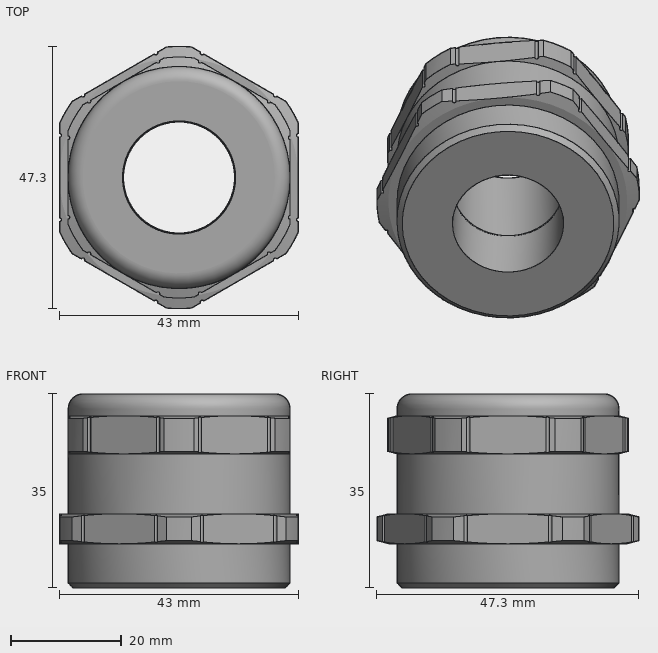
import cadquery as cq
import math

body_radius = 20.0
total_height = 35.0
bottom_chamfer = 0.95
top_fillet = 2.7

upper_bore_radius = 10.2
lower_bore_radius = 10.0

lower_hex_flats = 43.0
lower_hex_corner_radius = 23.64
lower_hex_bottom = 8.0
lower_hex_top = 13.4
lower_groove_offset = 7.6

upper_hex_flats = 2 * body_radius
upper_hex_corner_radius = 21.7
upper_hex_bottom = 24.2
upper_hex_top = 31.05
upper_groove_offset = 7.17

hex_sides = 6
hex_chamfer_angle = 15.0
groove_radius = 0.32

bore_step_height = lower_hex_top


def make_body():
    """Cylinder with a chamfered bottom rim and a rounded top rim."""
    body = cq.Workplane("XY").circle(body_radius).extrude(total_height)
    body = body.faces("<Z").edges().chamfer(bottom_chamfer)
    return body.faces(">Z").edges().fillet(top_fillet)


def make_corner_envelope(flats, corner_radius, bottom, top):
    """Disc that rounds the hexagon corners and bevels them at both ends."""
    flat_radius = flats / 2
    bevel_drop = (corner_radius - flat_radius) * math.tan(math.radians(hex_chamfer_angle))
    half_profile = [
        (0, bottom),
        (flat_radius, bottom),
        (corner_radius, bottom + bevel_drop),
        (corner_radius, top - bevel_drop),
        (flat_radius, top),
        (0, top),
    ]
    return cq.Workplane("XZ").polyline(half_profile).close().revolve(360, (0, 0), (0, 1))


def make_hex_collar(flats, corner_radius, bottom, top, groove_offset):
    """Hexagon with flats facing +X and -X and two round grooves along Z on each flat."""
    height = top - bottom
    corner_diameter = flats / math.cos(math.pi / hex_sides)
    base = cq.Workplane("XY").workplane(offset=bottom)
    collar = base.polygon(hex_sides, corner_diameter).extrude(height)
    collar = collar.rotate((0, 0, 0), (0, 0, 1), 180 / hex_sides)
    collar = collar.intersect(make_corner_envelope(flats, corner_radius, bottom, top))

    groove_centers = [(flats / 2, -groove_offset), (flats / 2, groove_offset)]
    groove_pair = base.pushPoints(groove_centers).circle(groove_radius).extrude(height)
    for side in range(hex_sides):
        side_angle = side * 360 / hex_sides
        collar = collar.cut(groove_pair.rotate((0, 0, 0), (0, 0, 1), side_angle))
    return collar


def make_bore():
    """Through hole with a step between its two radii."""
    lower = cq.Workplane("XY").circle(lower_bore_radius).extrude(total_height)
    upper_depth = total_height - bore_step_height
    step_plane = cq.Workplane("XY").workplane(offset=bore_step_height)
    upper = step_plane.circle(upper_bore_radius).extrude(upper_depth)
    return lower.union(upper)


lower_collar = make_hex_collar(
    lower_hex_flats, lower_hex_corner_radius, lower_hex_bottom, lower_hex_top, lower_groove_offset
)
upper_collar = make_hex_collar(
    upper_hex_flats, upper_hex_corner_radius, upper_hex_bottom, upper_hex_top, upper_groove_offset
)

result = make_body().union(lower_collar).union(upper_collar).cut(make_bore())